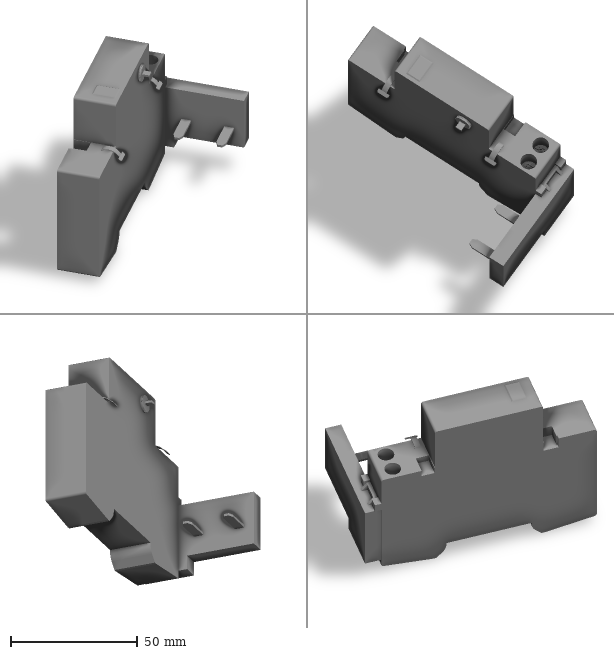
import cadquery as cq
import math


width = 17.55
length = 89.8
tower_length = 45.0
tower_top = 71.0
shoulder_top = 50.9
edge_radius = 1.0
tower_front = (length - tower_length) / 2
tower_back = tower_front + tower_length

rail_gap = 35.6
rail_seat_height = 7.0
foot_outer_height = 2.6
foot_flat_length = 1.4
foot_radius = 4.6
foot_arc_top = 6.0
foot_slant_angle = math.radians(45)

notch_width = 7.3
notch_tower_gap = 0.2
front_notch_length = 6.1
front_notch_depth = 4.9
front_notch_step_width = 1.6
front_notch_step_length = 0.4
back_notch_length = 5.6
back_notch_depth = 2.9
strip_length = 6.65
strip_drop = 0.1

screw_pitch = 8.4
first_screw_x = 4.75
screw_y = 83.5
bore_diameter = 6.6
bore_depth = 8.0
slot_width = 1.0
slot_depth = 0.8
cross_length = 4.0
cone_diameter = 2.4
cone_depth = 1.2
dish_diameter = 3.1
dish_depth = slot_depth
tick_length = 4.8
tick_width = 0.3
tick_depth = 0.2
tick_turns = (45, 135)
screw_turns = (90, 135)

window_length_x = 9.8
window_length_y = 6.5
window_x = 11.2
window_y = 30.1
window_height = 0.3
window_border = 0.5

knob_y = 55.7
knob_z = 64.15
knob_diameter = 6.9
knob_thickness = 1.15
knurl_count = 36
knurl_length = 0.6
knurl_width = 0.3
knurl_depth = 0.15
tongue_width = 2.7
tongue_thickness = 0.9
tongue_length = 3.0

clip_centres_y = (19.2, 70.4)
clip_width = 2.4
clip_head_width = 5.2
clip_thickness = 0.3
clip_start = (12.6, 50.8)
clip_crest = (15.6, 52.0)
clip_edge = (18.6, 51.1)
clip_neck = (20.3, 49.4)
clip_tip = (21.65, 48.6)
clip_head_chamfer = 0.5

busbar_left = 0.3
busbar_right = 50.1
busbar_depth = 6.7
busbar_top = 34.3
busbar_bottom = 11.8
busbar_leg_right = 21.2
busbar_leg_bottom = 6.0
pin_count = 2
pin_pitch = 17.75
first_pin_x = 26.25
pin_width = 4.0
pin_length = 13.0
pin_thickness = 1.0
pin_tip_width = 2.0
pin_taper_length = 2.0
pin_z = 20.0

ledge_top = 37.8
ledge_depth = 2.7
ledge_recess_depth = 1.6
ledge_recess_left = 3.8
ledge_recess_right = 14.0
rib_width = 1.4
rib_reach = 2.5
rib_centres_x = (4.8, 13.1)


def box(x0, x1, y0, y1, z0, z1):
    return cq.Workplane("XY").box(x1 - x0, y1 - y0, z1 - z0, centered=False).translate((x0, y0, z0))


def housing():
    middle = length / 2
    foot_end = middle - rail_gap / 2
    arc_centre = (foot_end - foot_radius, foot_arc_top)

    def on_foot_arc(angle):
        return (
            arc_centre[0] + foot_radius * math.cos(angle),
            arc_centre[1] - foot_radius * math.sin(angle),
        )

    arc_middle = on_foot_arc(foot_slant_angle / 2)
    arc_end = on_foot_arc(foot_slant_angle)
    toe = arc_end[0] - arc_end[1] / math.tan(foot_slant_angle)

    half = (
        cq.Workplane("YZ")
        .moveTo(middle, rail_seat_height)
        .lineTo(foot_end, rail_seat_height)
        .lineTo(foot_end, foot_arc_top)
        .threePointArc(arc_middle, arc_end)
        .lineTo(toe, 0)
        .lineTo(toe - foot_flat_length, 0)
        .lineTo(0, foot_outer_height)
        .lineTo(0, shoulder_top)
        .lineTo(tower_front, shoulder_top)
        .lineTo(tower_front, tower_top)
        .lineTo(middle, tower_top)
        .close()
        .extrude(width)
    )
    outer_edges = half.edges("|X and <Y")
    tower_edge = half.edges("|X").edges(
        cq.selectors.NearestToPointSelector((width / 2, tower_front, tower_top))
    )
    half = half.newObject(outer_edges.vals() + tower_edge.vals()).fillet(edge_radius)
    other_half = half.mirror("XZ", (0, middle, 0))
    return half.union(other_half).clean()


def shoulder_notches():
    front_floor = shoulder_top - front_notch_depth
    front_edge = tower_front - front_notch_length
    front = box(0, notch_width, front_edge, tower_front - notch_tower_gap, front_floor, shoulder_top)
    step = box(
        0, front_notch_step_width,
        front_edge - front_notch_step_length, front_edge,
        front_floor, shoulder_top,
    )
    back = box(
        0, notch_width,
        tower_back + notch_tower_gap, tower_back + back_notch_length,
        shoulder_top - back_notch_depth, shoulder_top,
    )
    return front.union(step).union(back)


def sloping_strip():
    """Thin wedge that makes the front shoulder fall slightly towards the tower."""
    return (
        cq.Workplane("YZ")
        .moveTo(tower_front - strip_length, shoulder_top)
        .lineTo(tower_front, shoulder_top)
        .lineTo(tower_front, shoulder_top - strip_drop)
        .close()
        .extrude(width)
    )


def screw_bore(x, turn):
    """Bore down to the screw head, with the drive recesses cut into the head."""
    def disc(diameter, depth):
        return cq.Workplane("XY").circle(diameter / 2).extrude(-depth)

    cone = (
        cq.Workplane("XZ")
        .lineTo(cone_diameter / 2, 0)
        .lineTo(0, -cone_depth)
        .close()
        .revolve(360, (0, 0, 0), (0, 1, 0))
    )
    bore = disc(bore_diameter, bore_depth).translate((0, 0, bore_depth))
    slot = cq.Workplane("XY").rect(bore_diameter, slot_width).extrude(-slot_depth)
    cross = cq.Workplane("XY").rect(slot_width, cross_length).extrude(-slot_depth)
    cutter = bore.union(slot.intersect(disc(bore_diameter, slot_depth)))
    cutter = cutter.union(cross).union(disc(dish_diameter, dish_depth))
    cutter = cutter.union(cone.translate((0, 0, -slot_depth)))
    for tick_turn in tick_turns:
        tick = cq.Workplane("XY").rect(tick_length, tick_width).extrude(-tick_depth)
        cutter = cutter.union(tick.rotate((0, 0, 0), (0, 0, 1), tick_turn))
    cutter = cutter.rotate((0, 0, 0), (0, 0, 1), turn)
    return cutter.translate((x, screw_y, shoulder_top - bore_depth))


def window():
    return (
        cq.Workplane("XY", origin=(window_x, window_y, tower_top))
        .rect(window_length_x, window_length_y)
        .workplane(offset=window_height)
        .rect(window_length_x - 2 * window_border, window_length_y - 2 * window_border)
        .loft(ruled=True)
    )


def side_knob():
    side = cq.Workplane("YZ", origin=(width, knob_y, knob_z))
    disc = side.circle(knob_diameter / 2).extrude(knob_thickness)
    grooves = (
        side.workplane(offset=knob_thickness - knurl_length)
        .polarArray(knob_diameter / 2, 0, 360, knurl_count)
        .rect(2 * knurl_depth, knurl_width)
        .extrude(knurl_length)
    )
    disc = disc.cut(grooves)
    tongue = side.rect(tongue_width, tongue_thickness).extrude(knob_thickness + tongue_length)
    return disc.union(tongue)


def spring_clip(centre_y):
    """Curved leaf rising out of the shoulder, ending in a wider head beyond the side."""
    def lowered(point):
        return (point[0], point[1] - clip_thickness)

    upper_curve = [clip_crest, clip_edge, clip_neck]
    lower_curve = [lowered(clip_edge), lowered(clip_crest), lowered(clip_start)]
    leaf = (
        cq.Workplane("XZ", origin=(0, centre_y + clip_width / 2, 0))
        .moveTo(*clip_start)
        .spline(upper_curve, includeCurrent=True)
        .lineTo(*lowered(clip_neck))
        .spline(lower_curve, includeCurrent=True)
        .close()
        .extrude(clip_width)
    )
    head = (
        cq.Workplane("XZ", origin=(0, centre_y + clip_head_width / 2, 0))
        .polyline([clip_neck, clip_tip, lowered(clip_tip), lowered(clip_neck)])
        .close()
        .extrude(clip_head_width)
    )
    head = head.faces(">X").edges("|Z").chamfer(clip_head_chamfer)
    return leaf.union(head)


def busbar_pin(x):
    base_half = pin_width / 2
    tip_half = pin_tip_width / 2
    shank = pin_length - pin_taper_length
    return (
        cq.Workplane("XY", origin=(x, length, pin_z - pin_thickness / 2))
        .moveTo(-base_half, 0)
        .lineTo(-base_half, -shank)
        .lineTo(-tip_half, -pin_length)
        .lineTo(tip_half, -pin_length)
        .lineTo(base_half, -shank)
        .lineTo(base_half, 0)
        .close()
        .extrude(pin_thickness)
    )


def busbar():
    back = length + busbar_depth
    bar = box(busbar_left, busbar_right, length, back, busbar_bottom, busbar_top)
    leg = box(busbar_left, busbar_leg_right, length, back, busbar_leg_bottom, busbar_bottom)
    bar = bar.union(leg)
    for index in range(pin_count):
        bar = bar.union(busbar_pin(first_pin_x + index * pin_pitch))
    return bar


def ledge():
    """Shelf over the busbar, set back and lowered in the middle where two sloping ribs stand."""
    recess_y = length + ledge_recess_depth
    shelf_y = length + ledge_depth
    shelf = box(0, width, length, shelf_y, busbar_top, ledge_top)
    recess = box(ledge_recess_left, ledge_recess_right, recess_y, shelf_y, busbar_top, ledge_top)
    lowering = box(
        ledge_recess_left, ledge_recess_right,
        length, recess_y,
        busbar_top + rib_reach, ledge_top,
    )
    shelf = shelf.cut(recess).cut(lowering)
    for x in rib_centres_x:
        rib = (
            cq.Workplane("YZ", origin=(x - rib_width / 2, 0, 0))
            .moveTo(recess_y, busbar_top)
            .lineTo(recess_y + rib_reach, busbar_top)
            .lineTo(recess_y, busbar_top + rib_reach)
            .close()
            .extrude(rib_width)
        )
        shelf = shelf.union(rib)
    return shelf


body = housing().cut(sloping_strip()).cut(shoulder_notches())
for index, screw_turn in enumerate(screw_turns):
    body = body.cut(screw_bore(first_screw_x + index * screw_pitch, screw_turn))

body = body.union(busbar()).union(ledge()).union(window()).union(side_knob())
for clip_y in clip_centres_y:
    body = body.union(spring_clip(clip_y))

result = body